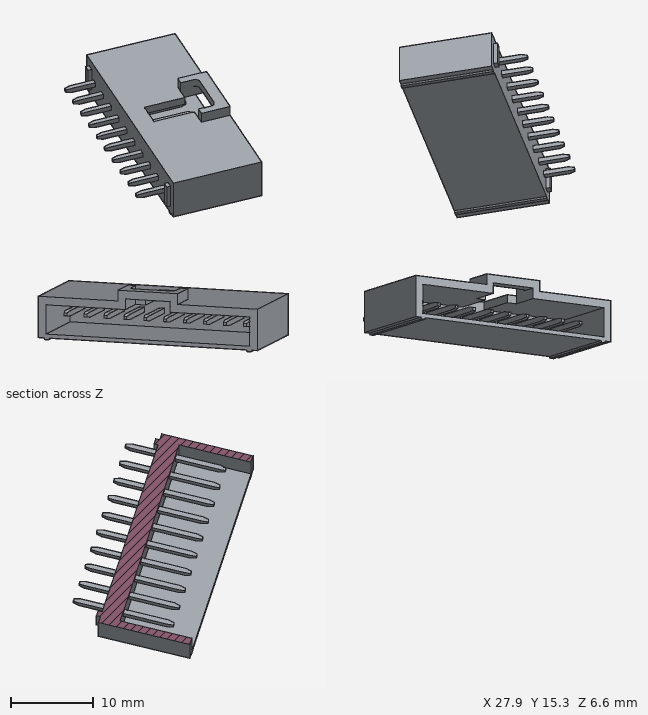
import cadquery as cq


PITCH = 2.54
PIN_COUNT = 10
PIN_SIDE = 0.625
PIN_TIP_SIDE = 0.36
PIN_TAPER = 0.72

BODY_X = (PIN_COUNT + 1) * PITCH
BODY_Y = 11.5
BODY_Z = 2 * PITCH
WALL = 1.0
FLOOR = 0.5
BACK_WALL = 2.5
PIN_Z = BODY_Z / 2

TOTAL_Y = 15.3
TOTAL_Z = 6.6

PIN_RECESS = 2.75
PIN_LENGTH = TOTAL_Y - PIN_RECESS

RIB_HEIGHT = 0.2
RIB_BASE = 0.7
RIB_CREST = 0.45
RIB_INSET = 1.07

STANDOFF_X = 0.8
STANDOFF_Y = 0.5
STANDOFF_Z = 3.0
STANDOFF_INSET = 1.27

LATCH_X = 3 * PITCH
LATCH_Y = 3.75
LATCH_Z = TOTAL_Z - RIB_HEIGHT - BODY_Z
LATCH_BAR_Y = 1.5
LATCH_BAR_GAP = 0.3
LATCH_WINDOW_X = 5.7
LATCH_CORNER_RADIUS = 0.6

SLOT_X = 3.1


def box(size_x, size_y, size_z, center_x, front_y, bottom_z):
    """Box extending toward -Y from front_y and upward from bottom_z."""
    return (
        cq.Workplane("XY")
        .box(size_x, size_y, size_z, centered=(True, False, False))
        .translate((center_x, front_y - size_y, bottom_z))
    )


def make_housing():
    """Rectangular shell, open at the mating face, with a key slot in its top wall."""
    cavity_y = BODY_Y - BACK_WALL
    cavity_z = BODY_Z - WALL - FLOOR
    body = box(BODY_X, BODY_Y, BODY_Z, 0, 0, 0)
    cavity = box(BODY_X - 2 * WALL, cavity_y, cavity_z, 0, 0, FLOOR)
    slot = box(SLOT_X, cavity_y, BODY_Z - PIN_Z, 0, 0, PIN_Z)
    return body.cut(cavity).cut(slot)


def add_latch(housing):
    """Add the U-shaped latch frame and open the top wall beneath its bar."""
    frame = box(LATCH_X, LATCH_Y, LATCH_Z, 0, 0, BODY_Z)
    window_y = LATCH_Y - LATCH_BAR_Y
    window = (
        box(LATCH_WINDOW_X, window_y, TOTAL_Z - PIN_Z, 0, -LATCH_BAR_Y, PIN_Z)
        .edges("|Z and >Y")
        .fillet(LATCH_CORNER_RADIUS)
    )
    under_bar = box(LATCH_WINDOW_X, LATCH_Y, BODY_Z + LATCH_BAR_GAP - PIN_Z, 0, 0, PIN_Z)
    return housing.union(frame).cut(window).cut(under_bar)


def make_standoff(center_x):
    """Upright pad that spaces the back face from the board."""
    return box(STANDOFF_X, STANDOFF_Y, STANDOFF_Z, center_x, -BODY_Y, PIN_Z - STANDOFF_Z / 2)


def make_rib(center_x):
    """Trapezoidal rib along the whole underside of the body."""
    outline = [
        (center_x - RIB_BASE / 2, 0),
        (center_x - RIB_CREST / 2, -RIB_HEIGHT),
        (center_x + RIB_CREST / 2, -RIB_HEIGHT),
        (center_x + RIB_BASE / 2, 0),
    ]
    return cq.Workplane("XZ").polyline(outline).close().extrude(BODY_Y)


def make_pin(center_x):
    """Square pin with a tapered tip at both ends."""
    tip_y = -PIN_RECESS
    shank = box(
        PIN_SIDE,
        PIN_LENGTH - 2 * PIN_TAPER,
        PIN_SIDE,
        center_x,
        tip_y - PIN_TAPER,
        PIN_Z - PIN_SIDE / 2,
    )

    def make_tip(face):
        return (
            shank.faces(face)
            .workplane(centerOption="CenterOfMass")
            .rect(PIN_SIDE, PIN_SIDE)
            .workplane(offset=PIN_TAPER)
            .rect(PIN_TIP_SIDE, PIN_TIP_SIDE)
            .loft(combine=False)
        )

    return shank.union(make_tip(">Y")).union(make_tip("<Y"))


result = add_latch(make_housing())

for side in (-1, 1):
    result = result.union(make_standoff(side * (BODY_X / 2 - STANDOFF_INSET)))
    result = result.union(make_rib(side * (BODY_X / 2 - RIB_INSET)))

for index in range(PIN_COUNT):
    result = result.union(make_pin((index - (PIN_COUNT - 1) / 2) * PITCH))